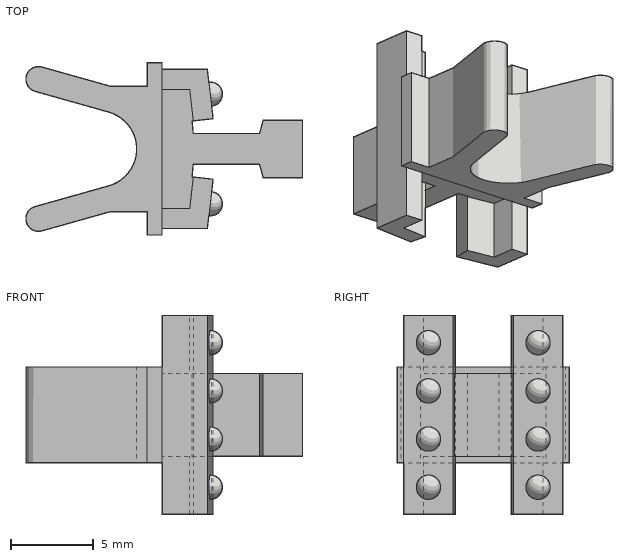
import cadquery as cq
import math

clip_height = 5.8
tail_height = 5.01
bracket_height = 12.0

length = 16.7
tip_radius = 0.77
tip_center_y = 4.21
arm_angle = math.radians(15.7)
body_half_width = 3.79
bore_radius = 2.3
bore_end_x = 6.68

flange_start = 7.31
flange_end = 8.22
flange_width = 10.4

bracket_outer_y = 4.81
bracket_inner_y = 3.59
bracket_tip_outer_y = 1.82
bracket_tip_inner_y = 1.69
bracket_outer_x = 10.95
bracket_inner_x = 9.89
bracket_tip_outer_x = 11.3
bracket_tip_inner_x = 10.1

bump_radius = 0.73
bump_y = 3.3
bump_pitch = 2.9
bumps_per_bracket = 4

hub_shoulder_x = 10.04
hub_end_x = 10.1
neck_half_width = 0.94
neck_end_x = 14.1
head_start_x = 14.31
head_half_width = 1.74


def extrude_centered(outline, height):
    """Extrude a closed XY outline equally above and below Z = 0."""
    return outline.extrude(height / 2, both=True)


def mirrored_pair(solid):
    """Join a solid on the +Y side with its mirror image."""
    return solid.union(solid.mirror("XZ"))


def make_clip():
    """Half outline with a round tip and a bore arc, mirrored across Y = 0."""
    sine = math.sin(arm_angle)
    cosine = math.cos(arm_angle)
    tip_outer = (tip_radius * (1 + sine), tip_center_y + tip_radius * cosine)
    tip_middle = (tip_radius * (1 - cosine), tip_center_y + tip_radius * sine)
    tip_inner = (tip_radius * (1 - sine), tip_center_y - tip_radius * cosine)
    bend_x = tip_outer[0] + (tip_outer[1] - body_half_width) / math.tan(arm_angle)

    bore_center_x = bore_end_x - bore_radius
    bore_sweep = math.pi / 2 - arm_angle
    bore_start = (
        bore_center_x + bore_radius * math.cos(bore_sweep),
        bore_radius * math.sin(bore_sweep),
    )
    bore_middle = (
        bore_center_x + bore_radius * math.cos(bore_sweep / 2),
        bore_radius * math.sin(bore_sweep / 2),
    )
    half_outline = (
        cq.Workplane("XY")
        .moveTo(flange_end, 0)
        .lineTo(flange_end, body_half_width)
        .lineTo(bend_x, body_half_width)
        .lineTo(*tip_outer)
        .threePointArc(tip_middle, tip_inner)
        .lineTo(*bore_start)
        .threePointArc(bore_middle, (bore_end_x, 0))
        .close()
    )
    return mirrored_pair(extrude_centered(half_outline, clip_height))


def make_flange():
    thickness = flange_end - flange_start
    flange = cq.Workplane("XY").box(thickness, flange_width, clip_height)
    return flange.translate(((flange_start + flange_end) / 2, 0, 0))


def make_tail():
    """The hub fills the space up to the inner faces of the brackets."""
    half_outline = cq.Workplane("XY").polyline([
        (flange_end, 0),
        (flange_end, bracket_inner_y),
        (bracket_inner_x, bracket_inner_y),
        (bracket_tip_inner_x, bracket_tip_inner_y),
        (hub_shoulder_x, bracket_tip_inner_y),
        (hub_end_x, neck_half_width),
        (neck_end_x, neck_half_width),
        (head_start_x, head_half_width),
        (length, head_half_width),
        (length, 0),
    ]).close()
    return mirrored_pair(extrude_centered(half_outline, tail_height))


def make_brackets():
    outline = cq.Workplane("XY").polyline([
        (flange_end, bracket_outer_y),
        (bracket_outer_x, bracket_outer_y),
        (bracket_tip_outer_x, bracket_tip_outer_y),
        (bracket_tip_inner_x, bracket_tip_inner_y),
        (bracket_inner_x, bracket_inner_y),
        (flange_end, bracket_inner_y),
    ]).close()
    bracket = extrude_centered(outline, bracket_height)

    face_fraction = (bracket_outer_y - bump_y) / (bracket_outer_y - bracket_tip_outer_y)
    bump_x = bracket_outer_x + face_fraction * (bracket_tip_outer_x - bracket_outer_x)
    for index in range(bumps_per_bracket):
        bump_z = (index - (bumps_per_bracket - 1) / 2) * bump_pitch
        bump = cq.Workplane("XY").sphere(bump_radius).translate((bump_x, bump_y, bump_z))
        bracket = bracket.union(bump)
    return mirrored_pair(bracket)


result = make_clip().union(make_flange()).union(make_tail()).union(make_brackets())